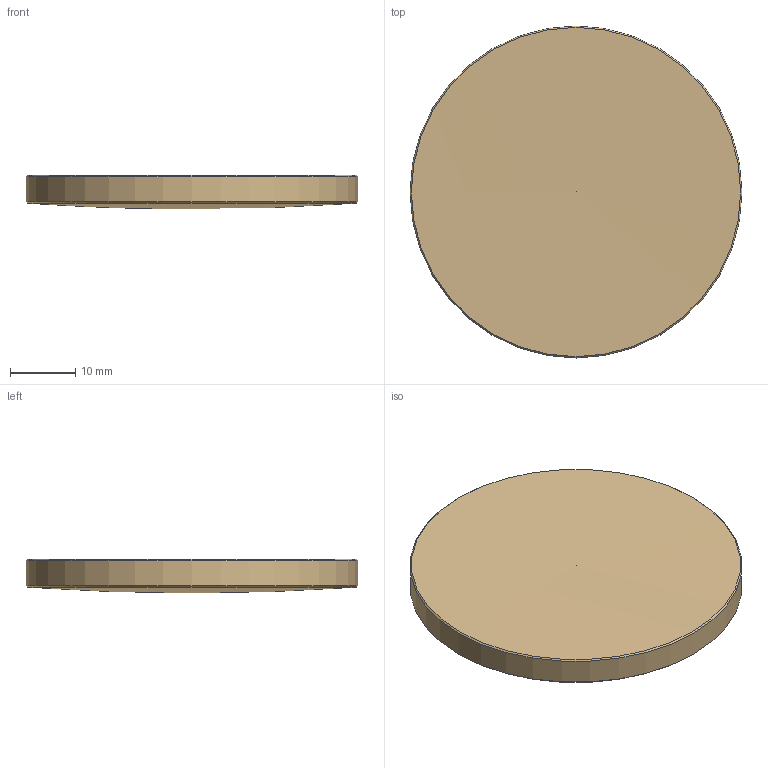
import cadquery as cq
import math

diameter = 50.8
center_thickness = 5.0
convex_sag = 0.88
concave_sag = 0.2
bevel = 0.2

radius = diameter / 2
aperture_radius = radius - bevel
mid_radius = aperture_radius / 2
rim_height = center_thickness + concave_sag


def sphere_radius(sag):
    """Radius of the spherical face that has the given sag across the aperture."""
    return (aperture_radius**2 + sag**2) / (2 * sag)


def mid_rise(sag):
    """Rise of a spherical face from its vertex to the mid radius."""
    face_radius = sphere_radius(sag)
    return face_radius - math.sqrt(face_radius**2 - mid_radius**2)


def lens_half_section():
    """Closed half section in the XZ plane, on the -X side of the optical axis."""
    return (
        cq.Workplane("XZ")
        .moveTo(0, 0)
        .threePointArc((-mid_radius, mid_rise(convex_sag)), (-aperture_radius, convex_sag))
        .lineTo(-radius, convex_sag + bevel)
        .lineTo(-radius, rim_height - bevel)
        .lineTo(-aperture_radius, rim_height)
        .threePointArc(
            (-mid_radius, center_thickness + mid_rise(concave_sag)),
            (0, center_thickness),
        )
        .close()
    )


result = lens_half_section().revolve(360, (0, 0, 0), (0, 1, 0))